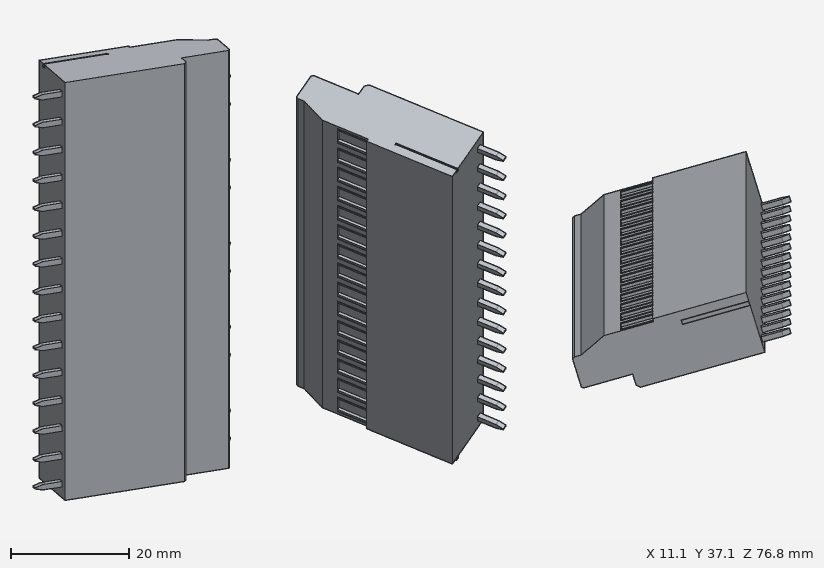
import cadquery as cq


pole_count = 15
rib_height = 0.6
overall_height = 76.8
body_height = overall_height - rib_height
pitch = body_height / pole_count

body_width = 11.1
body_depth = 31.6
shoulder_x = 0.5
shoulder_y = 16.5
slope_start_y = 25.3
slope_end_x = 2.8
slope_end_y = 29.95
rear_step_x = 8.5
rear_step_y = 22.6
step_chamfer = 0.6
rear_chamfer = 0.3
left_bevel_x = 0.2
left_bevel_y = 0.45

pocket_length_y = 5.8
pocket_height = 3.8
pocket_floor_height = 2.85
pocket_depth = 0.6
pocket_border_depth = 0.1

rib_x = 1.85
rib_length = 11.9
rib_neck_width = 0.3
rib_head_width = 0.8
rib_lip_height = 0.2

pin_x = 9.45
pin_width = 1.0
pin_length = 5.0
pin_taper_length = 1.4
pin_tip_height = 0.2

nub_x = 6.75
nub_length = 1.1
nub_slant = 0.2
nub_height = 0.45
nub_base = 1.2
nub_gap = 3


def make_body():
    profile = [
        (0, 0),
        (body_width, 0),
        (body_width, rear_step_y - step_chamfer),
        (body_width - step_chamfer, rear_step_y),
        (rear_step_x, rear_step_y),
        (rear_step_x, body_depth - rear_chamfer),
        (rear_step_x - rear_chamfer, body_depth),
        (slope_end_x + left_bevel_x, body_depth),
        (slope_end_x, body_depth - left_bevel_y),
        (slope_end_x, slope_end_y),
        (shoulder_x, slope_start_y),
        (shoulder_x, shoulder_y),
        (0, shoulder_y),
    ]
    return cq.Workplane("XY").polyline(profile).close().extrude(body_height)


def make_pocket(center_z):
    def recess(depth, height):
        corner = (shoulder_x, shoulder_y, center_z - height / 2)
        return cq.Workplane("XY").box(depth, pocket_length_y, height, centered=False).translate(corner)

    return recess(pocket_border_depth, pocket_height).union(recess(pocket_depth, pocket_floor_height))


def make_rib(base_z):
    """Undercut rib hanging below base_z: flared neck, then a straight lip."""
    neck = rib_neck_width / 2
    head = rib_head_width / 2
    lip_z = base_z - rib_height + rib_lip_height
    section = [
        (rib_x - neck, base_z),
        (rib_x - head, lip_z),
        (rib_x - head, base_z - rib_height),
        (rib_x + head, base_z - rib_height),
        (rib_x + head, lip_z),
        (rib_x + neck, base_z),
    ]
    return cq.Workplane("XZ").polyline(section).close().extrude(-rib_length)


def make_pin(center_z):
    half = pin_width / 2
    tip = pin_tip_height / 2
    taper_y = pin_taper_length - pin_length
    side = [
        (0, center_z - half),
        (taper_y, center_z - half),
        (-pin_length, center_z - tip),
        (-pin_length, center_z + tip),
        (taper_y, center_z + half),
        (0, center_z + half),
    ]
    return cq.Workplane("YZ", origin=(pin_x - half, 0, 0)).polyline(side).close().extrude(pin_width)


def make_nub(center_z):
    """Triangular ridge along X whose right end leans back toward its crest."""
    half = nub_base / 2
    crest_y = body_depth + nub_height
    end_x = nub_x + nub_length
    side = [
        (nub_x, body_depth),
        (end_x, body_depth),
        (end_x - nub_slant, crest_y),
        (nub_x, crest_y),
    ]
    triangle = [
        (body_depth, center_z - half),
        (crest_y, center_z),
        (body_depth, center_z + half),
    ]
    block = cq.Workplane("XY", origin=(0, 0, center_z - half)).polyline(side).close().extrude(nub_base)
    ridge = cq.Workplane("YZ", origin=(nub_x, 0, 0)).polyline(triangle).close().extrude(nub_length)
    return block.intersect(ridge)


result = make_body().cut(make_rib(body_height)).union(make_rib(0))

for pole in range(pole_count):
    pole_z = (pole + 0.5) * pitch
    result = result.cut(make_pocket(pole_z)).union(make_pin(pole_z))

for boundary in range(1, pole_count):
    if boundary % nub_gap != 0:
        result = result.union(make_nub(boundary * pitch))